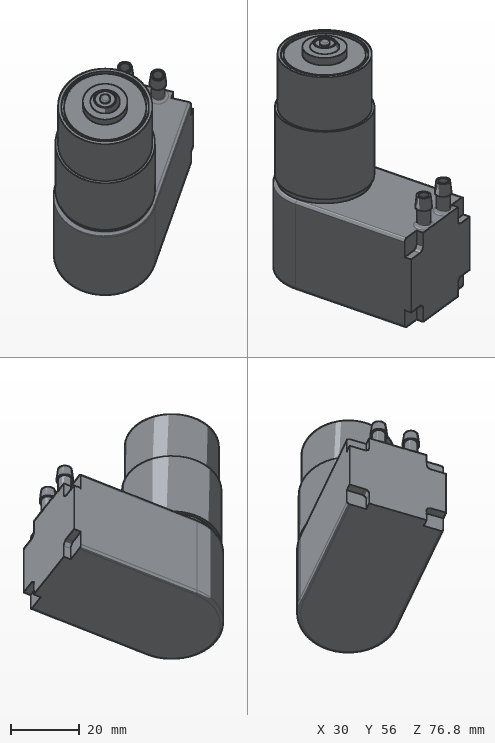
import cadquery as cq

HOUSING_WIDTH = 30.0
HOUSING_LENGTH = 56.0
HOUSING_HEIGHT = 30.0
EDGE_FILLET = 1.0
END_RADIUS = HOUSING_WIDTH / 2
BACK_Y = HOUSING_LENGTH - END_RADIUS

NOTCH_SIZE = 6.1
NOTCH_DEPTH = 2.3
NOTCH_FILLET = 1.5

NOZZLE_SPACING = 10.0
NOZZLE_BACK_OFFSET = 2.5
NOZZLE_HEIGHT = 10.0
NOZZLE_BORE_DIAMETER = 3.0
STEM_DIAMETER = 4.0
BARB_BASE_HEIGHT = 6.0
BARB_BASE_DIAMETER = 5.0
BARB_TIP_DIAMETER = 4.15
STEM_FLARE_RADIUS = 1.0

CAN_DIAMETER = 27.5
BAND_DIAMETER = 29.0
BAND_BOTTOM_Z = 31.9
BAND_TOP_Z = 54.5
CAN_TOP_Z = 72.5

FACE_SETBACK = 0.2
GROOVE_OUTER_DIAMETER = 25.5
GROOVE_INNER_DIAMETER = 24.0
GROOVE_DEPTH = 1.0

BOSS_DIAMETER = 13.0
BOSS_TOP_Z = 74.8
COLLAR_BASE_DIAMETER = 8.6
COLLAR_TOP_DIAMETER = 6.6
COLLAR_TOP_Z = 76.2
COLLAR_RECESS_DIAMETER = 6.0
COLLAR_RECESS_DEPTH = 0.4
SHAFT_DIAMETER = 3.0
SHAFT_FILLET = 0.45
SHAFT_TOP_Z = 76.8


def make_cylinder(diameter, bottom_z, top_z):
    """Upright cylinder on the motor axis."""
    return cq.Workplane("XY").workplane(offset=bottom_z).circle(diameter / 2).extrude(top_z - bottom_z)


def make_cone(bottom_diameter, bottom_z, top_diameter, top_z):
    """Upright truncated cone on the motor axis."""
    return (
        cq.Workplane("XY")
        .workplane(offset=bottom_z)
        .circle(bottom_diameter / 2)
        .workplane(offset=top_z - bottom_z)
        .circle(top_diameter / 2)
        .loft(ruled=True)
    )


def make_housing_block():
    """Round-ended block with rounded top and bottom rims, except along the back face."""
    block = (
        cq.Workplane("XY")
        .moveTo(END_RADIUS, 0)
        .lineTo(END_RADIUS, BACK_Y)
        .lineTo(-END_RADIUS, BACK_Y)
        .lineTo(-END_RADIUS, 0)
        .threePointArc((0, -END_RADIUS), (END_RADIUS, 0))
        .close()
        .extrude(HOUSING_HEIGHT)
    )
    return block.faces("<Z or >Z").edges("not >Y").fillet(EDGE_FILLET)


def make_notch_cutter(x_side, z_side):
    """Square corner cutter whose innermost edge is rounded."""
    center_x = x_side * END_RADIUS
    center_z = HOUSING_HEIGHT / 2 + z_side * HOUSING_HEIGHT / 2
    inner_side_face = ">X" if x_side < 0 else "<X"
    inner_level_edge = ">Z" if z_side < 0 else "<Z"
    return (
        cq.Workplane("XY")
        .box(2 * NOTCH_SIZE, 2 * NOTCH_DEPTH, 2 * NOTCH_SIZE)
        .faces(inner_side_face)
        .edges(inner_level_edge)
        .fillet(NOTCH_FILLET)
        .translate((center_x, BACK_Y, center_z))
    )


def make_nozzle(x):
    """Hollow barbed nozzle with a flared foot, trimmed flush with the back face."""
    stem_radius = STEM_DIAMETER / 2
    bore_radius = NOZZLE_BORE_DIAMETER / 2
    flare_mid = STEM_FLARE_RADIUS * (1 - 0.5 ** 0.5)
    nozzle = (
        cq.Workplane("XZ")
        .moveTo(bore_radius, 0)
        .lineTo(stem_radius + STEM_FLARE_RADIUS, 0)
        .threePointArc((stem_radius + flare_mid, flare_mid), (stem_radius, STEM_FLARE_RADIUS))
        .lineTo(stem_radius, BARB_BASE_HEIGHT)
        .lineTo(BARB_BASE_DIAMETER / 2, BARB_BASE_HEIGHT)
        .lineTo(BARB_TIP_DIAMETER / 2, NOZZLE_HEIGHT)
        .lineTo(bore_radius, NOZZLE_HEIGHT)
        .close()
        .revolve(360, (0, 0, 0), (0, 1, 0))
        .translate((x, BACK_Y - NOZZLE_BACK_OFFSET, HOUSING_HEIGHT))
    )
    envelope = (
        cq.Workplane("XY")
        .box(HOUSING_WIDTH, HOUSING_LENGTH, HOUSING_HEIGHT + NOZZLE_HEIGHT, centered=(True, False, False))
        .translate((0, BACK_Y - HOUSING_LENGTH, 0))
    )
    return nozzle.intersect(envelope)


def make_housing():
    """Pump housing with corner notches and both nozzles."""
    housing = make_housing_block()
    for x_side in (-1, 1):
        for z_side in (-1, 1):
            housing = housing.cut(make_notch_cutter(x_side, z_side))
        housing = housing.union(make_nozzle(x_side * NOZZLE_SPACING / 2))
    return housing


def make_motor():
    """Motor can with its band, grooved end face, bearing boss, collar and shaft end."""
    can = make_cylinder(CAN_DIAMETER, HOUSING_HEIGHT, CAN_TOP_Z)
    band = make_cylinder(BAND_DIAMETER, BAND_BOTTOM_Z, BAND_TOP_Z)
    face_z = CAN_TOP_Z - FACE_SETBACK
    groove_bottom_z = CAN_TOP_Z - GROOVE_DEPTH
    groove = make_cylinder(GROOVE_OUTER_DIAMETER, groove_bottom_z, CAN_TOP_Z).cut(
        make_cylinder(GROOVE_INNER_DIAMETER, groove_bottom_z, face_z)
    )
    boss = make_cylinder(BOSS_DIAMETER, face_z, BOSS_TOP_Z)
    collar = make_cone(COLLAR_BASE_DIAMETER, BOSS_TOP_Z, COLLAR_TOP_DIAMETER, COLLAR_TOP_Z)
    recess_floor_z = COLLAR_TOP_Z - COLLAR_RECESS_DEPTH
    recess = make_cylinder(COLLAR_RECESS_DIAMETER, recess_floor_z, COLLAR_TOP_Z)
    shaft = make_cylinder(SHAFT_DIAMETER, recess_floor_z, SHAFT_TOP_Z).faces(">Z").fillet(SHAFT_FILLET)
    return can.union(band).cut(groove).union(boss).union(collar.cut(recess)).union(shaft)


housing = make_housing()
motor = make_motor()
result = cq.Compound.makeCompound([*housing.solids().vals(), *motor.solids().vals()])